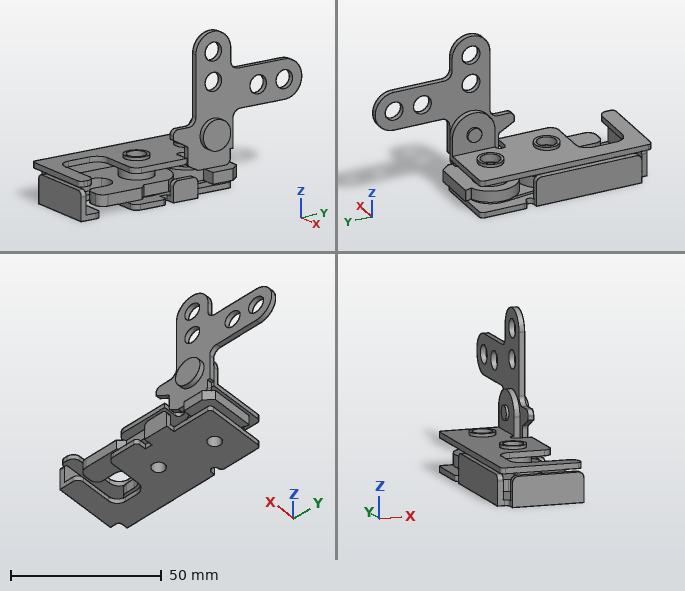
import cadquery as cq
import math


SHEET = 2.0
BEND_RELIEF_RADIUS = 1.5
CORNER_RADIUS = 1.5
FLANGE_CORNER_RADIUS = 2.0
LARGE_RADIUS = 3.0

FLANGE_TOP = 10.5
STRAP_TOP = 2.8
BLADE_BOTTOM = 3.4
BLADE_THICKNESS = 4.1
BLADE_TOP = BLADE_BOTTOM + BLADE_THICKNESS
COVER_BOTTOM = 11.7
COVER_TOP = COVER_BOTTOM + SHEET
RIVET_TOP = COVER_TOP + 1.1

PAWL_POST = (12.1, 54.0)
ROTOR_POST = (15.1, 31.65)
POSTS = (PAWL_POST, ROTOR_POST)
STRAP_RADIUS = 8.0
PIVOT_RADIUS = 5.2
SHOULDER_RADIUS = 6.1
RIVET_RADIUS = 4.5
POST_BORE_RADIUS = 2.55
COUNTERBORE_RADIUS = 3.5
COUNTERBORE_DEPTH = 2.9

HOUSING_WIDTH = 29.0
HOUSING_BACK = 63.6
SIDE_FLANGE_START = 3.9
SIDE_FLANGE_END = 43.05
FRONT_FLANGE_START = SIDE_FLANGE_START
SIDE_NOTCH_DEPTH = 2 * BEND_RELIEF_RADIUS
STOP_TAB_OUTER = 28.5
STOP_TAB_FRONT = 37.4
STOP_TAB_BACK = 47.2
FLOOR_REAR_EDGE = 24.8
FLOOR_STEP = 34.5
FLOOR_THROAT_LEFT = 10.1
FLOOR_THROAT_FRONT = 8.3
FLOOR_THROAT_BACK = 21.4
FLOOR_THROAT_RADIUS = 4.0
FLOOR_LIP_RADIUS = 2.5
COVER_EDGE = 26.2
COVER_ARM_END = 28.5
COVER_THROAT_LEFT = 6.5
COVER_THROAT_FRONT = 5.8
COVER_THROAT_BACK = 23.2
COVER_THROAT_RADIUS = 4.5

EAR_OUTER = 23.2
EAR_INNER = EAR_OUTER - SHEET
EAR_FRONT = 47.8
EAR_RELIEF_FRONT = 44.3
EAR_RELIEF_END = 19.4
EAR_RADIUS = (HOUSING_BACK - EAR_FRONT) / 2
HINGE_Y = HOUSING_BACK - EAR_RADIUS
HINGE_Z = 20.1
PIN_RADIUS = 2.55
PIN_TAIL = 20.25
PIN_HEAD_RADIUS = 5.5
PIN_HEAD_START = 25.35
PIN_HEAD_END = 27.4

ROTOR_HUB_RADIUS = 12.2
ROTOR_SLOT_WIDTH = 9.6
ROTOR_SLOT_TOP = 21.1
ROTOR_FINGER_TIP = 9.9
HOOK_TIP = 8.1
HOOK_EDGE = 28.5
HOOK_SHOULDER = 24.8
ROTOR_FLAT = 26.1

PAWL_HUB_RADIUS = 9.7
PAWL_BACK = 65.5
PAWL_ARM_END = 27.4
PAWL_CHAMFER_X = 2.8
PAWL_CHAMFER_Y = 3.4
PAWL_ARM_START = 8.4
PAWL_LIP_START = 7.8
PAWL_LIP_FRONT = 64.9
PAWL_LIP_ROOT = 63.2

LEVER_TOP = 55.5
LEVER_BACK = 91.2
LEVER_ARM_RADIUS = 7.0
LEVER_HOLE_RADIUS = 3.3
LEVER_HOLE_PITCH = 10.5
BACK_ARM_Z = 34.1
TOOTH_TIP = 39.6
TOOTH_TOP = 23.9
TOOTH_TIP_BOTTOM = 20.5
TOOTH_TIP_RADIUS = 2.0
NECK_RADIUS = 0.9
NECK_TOP = 17.2
FOOT_FRONT = 45.4
FOOT_BACK = 62.5
FOOT_BOTTOM = 8.4
FOOT_SLOPE_START = 10.7
FOOT_SLOPE_END = 49.4
FOOT_FRONT_RADIUS = 1.5
FOOT_BACK_RADIUS = 2.0


SHORTEST_EDGE = 9.12e-07


def rounded_outline(plane, corners):
    """Closed outline through (x, y, radius) corners, each corner rounded by its radius."""
    roundings = []
    for i, (x, y, radius) in enumerate(corners):
        here = cq.Vector(x, y)
        to_last = (cq.Vector(*corners[i - 1][:2]) - here).normalized()
        to_next = (cq.Vector(*corners[(i + 1) % len(corners)][:2]) - here).normalized()
        half_angle = to_last.getAngle(to_next) / 2
        setback = radius / math.tan(half_angle)
        corner_gap = radius / math.sin(half_angle) - radius
        middle = here + (to_last + to_next).normalized() * corner_gap
        roundings.append((here + to_last * setback, middle, here + to_next * setback, radius))

    end = roundings[0][2]
    sketch = cq.Workplane(plane).moveTo(end.x, end.y)
    for arc_start, middle, arc_end, radius in roundings[1:] + roundings[:1]:
        if (arc_start - end).Length > SHORTEST_EDGE:
            sketch = sketch.lineTo(arc_start.x, arc_start.y)
        if radius > 0:
            sketch = sketch.threePointArc((middle.x, middle.y), (arc_end.x, arc_end.y))
        end = arc_end
    return sketch.close()


def plate(corners, bottom, top):
    """Horizontal plate between two heights."""
    return rounded_outline("XY", corners).extrude(top - bottom).translate((0, 0, bottom))


def upright(corners, start, end):
    """Vertical plate across X, outlined in Y and Z."""
    return rounded_outline("YZ", corners).extrude(end - start).translate((start, 0, 0))


def disc(center, radius, bottom, top):
    """Vertical cylinder between two heights."""
    return cq.Workplane("XY", origin=(*center, bottom)).circle(radius).extrude(top - bottom)


def hinge_disc(radius, start, end):
    """Cylinder on the hinge axis between two X positions."""
    return cq.Workplane("YZ", origin=(start, HINGE_Y, HINGE_Z)).circle(radius).extrude(end - start)


def make_floor():
    notch_front = SIDE_FLANGE_END
    notch_back = notch_front + 2 * BEND_RELIEF_RADIUS
    return plate(
        [
            (HOUSING_WIDTH, 0, 0),
            (HOUSING_WIDTH, FLOOR_THROAT_FRONT, FLOOR_LIP_RADIUS),
            (FLOOR_THROAT_LEFT, FLOOR_THROAT_FRONT, FLOOR_THROAT_RADIUS),
            (FLOOR_THROAT_LEFT, FLOOR_THROAT_BACK, FLOOR_THROAT_RADIUS),
            (HOUSING_WIDTH, FLOOR_THROAT_BACK, FLOOR_LIP_RADIUS),
            (HOUSING_WIDTH, FLOOR_STEP, CORNER_RADIUS),
            (FLOOR_REAR_EDGE, FLOOR_STEP, 0),
            (FLOOR_REAR_EDGE, STOP_TAB_FRONT, 0),
            (STOP_TAB_OUTER, STOP_TAB_FRONT, 0),
            (STOP_TAB_OUTER, STOP_TAB_BACK, 0),
            (FLOOR_REAR_EDGE, STOP_TAB_BACK, 0),
            (FLOOR_REAR_EDGE, HOUSING_BACK, CORNER_RADIUS),
            (0, HOUSING_BACK, CORNER_RADIUS),
            (0, notch_back, CORNER_RADIUS),
            (SIDE_NOTCH_DEPTH, notch_back, BEND_RELIEF_RADIUS),
            (SIDE_NOTCH_DEPTH, notch_front, BEND_RELIEF_RADIUS),
            (0, notch_front, 0),
            (0, SIDE_FLANGE_START, 0),
            (FRONT_FLANGE_START, SIDE_FLANGE_START, BEND_RELIEF_RADIUS),
            (FRONT_FLANGE_START, 0, 0),
        ],
        0,
        SHEET,
    )


def make_flanges():
    side = upright(
        [
            (SIDE_FLANGE_START, 0, 0),
            (SIDE_FLANGE_END, 0, 0),
            (SIDE_FLANGE_END, FLANGE_TOP, FLANGE_CORNER_RADIUS),
            (SIDE_FLANGE_START, FLANGE_TOP, FLANGE_CORNER_RADIUS),
        ],
        0,
        SHEET,
    )
    stop_tab = upright(
        [
            (STOP_TAB_FRONT, 0, 0),
            (STOP_TAB_BACK, 0, 0),
            (STOP_TAB_BACK, BLADE_TOP, FLANGE_CORNER_RADIUS),
            (STOP_TAB_FRONT, BLADE_TOP, FLANGE_CORNER_RADIUS),
        ],
        STOP_TAB_OUTER - SHEET,
        STOP_TAB_OUTER,
    )
    front_corners = [
        (FRONT_FLANGE_START, 0, 0),
        (HOUSING_WIDTH, 0, 0),
        (HOUSING_WIDTH, FLANGE_TOP, FLANGE_CORNER_RADIUS),
        (FRONT_FLANGE_START, FLANGE_TOP, FLANGE_CORNER_RADIUS),
    ]
    front = rounded_outline("XZ", front_corners).extrude(-SHEET)
    return side.union(stop_tab).union(front)


def make_strap():
    """Raised strap on the floor that wraps around both posts."""
    dx = ROTOR_POST[0] - PAWL_POST[0]
    dy = ROTOR_POST[1] - PAWL_POST[1]
    middle = (PAWL_POST[0] + dx / 2, PAWL_POST[1] + dy / 2)
    length = math.hypot(dx, dy) + 2 * STRAP_RADIUS
    return (
        cq.Workplane("XY", origin=(*middle, SHEET))
        .slot2D(length, 2 * STRAP_RADIUS, math.degrees(math.atan2(dy, dx)))
        .extrude(STRAP_TOP - SHEET)
    )


def make_cover():
    return plate(
        [
            (0, 0, CORNER_RADIUS),
            (COVER_ARM_END, 0, CORNER_RADIUS),
            (COVER_ARM_END, COVER_THROAT_FRONT, LARGE_RADIUS),
            (COVER_THROAT_LEFT, COVER_THROAT_FRONT, COVER_THROAT_RADIUS),
            (COVER_THROAT_LEFT, COVER_THROAT_BACK, COVER_THROAT_RADIUS),
            (COVER_EDGE, COVER_THROAT_BACK, LARGE_RADIUS),
            (COVER_EDGE, EAR_RELIEF_FRONT, 0),
            (EAR_RELIEF_END, EAR_RELIEF_FRONT, BEND_RELIEF_RADIUS),
            (EAR_RELIEF_END, EAR_FRONT, BEND_RELIEF_RADIUS),
            (EAR_OUTER, EAR_FRONT, 0),
            (EAR_OUTER, HOUSING_BACK, 0),
            (0, HOUSING_BACK, CORNER_RADIUS),
        ],
        COVER_BOTTOM,
        COVER_TOP,
    )


def make_ear():
    ear_top = HINGE_Z + EAR_RADIUS
    return upright(
        [
            (EAR_FRONT, COVER_BOTTOM, 0),
            (HOUSING_BACK, COVER_BOTTOM, 0),
            (HOUSING_BACK, ear_top, EAR_RADIUS),
            (EAR_FRONT, ear_top, EAR_RADIUS),
        ],
        EAR_INNER,
        EAR_OUTER,
    )


def make_post(center):
    pivot = disc(center, PIVOT_RADIUS, SHEET, BLADE_TOP)
    shoulder = disc(center, SHOULDER_RADIUS, BLADE_TOP, COVER_BOTTOM)
    rivet = disc(center, RIVET_RADIUS, COVER_BOTTOM, RIVET_TOP)
    return pivot.union(shoulder).union(rivet)


def make_post_bore(center):
    bore = disc(center, POST_BORE_RADIUS, 0, RIVET_TOP)
    counterbore = disc(center, COUNTERBORE_RADIUS, RIVET_TOP - COUNTERBORE_DEPTH, RIVET_TOP)
    return bore.union(counterbore)


def make_hinge_pin():
    shank = hinge_disc(PIN_RADIUS, PIN_TAIL, PIN_HEAD_END)
    head = hinge_disc(PIN_HEAD_RADIUS, PIN_HEAD_START, PIN_HEAD_END)
    return shank.union(head)


def make_housing():
    housing = make_floor().union(make_flanges()).union(make_strap())
    housing = housing.union(make_cover()).union(make_ear()).union(make_hinge_pin())
    for center in POSTS:
        housing = housing.union(make_post(center))
    for center in POSTS:
        housing = housing.cut(make_post_bore(center))
    return housing


def make_rotor():
    """Disc, flattened on one side, with a finger and a hook on either side of the striker slot."""
    center_x, center_y = ROTOR_POST
    slot_left = center_x - ROTOR_SLOT_WIDTH / 2
    slot_right = center_x + ROTOR_SLOT_WIDTH / 2
    jaws = plate(
        [
            (center_x - ROTOR_HUB_RADIUS, center_y, 0),
            (center_x - ROTOR_HUB_RADIUS, ROTOR_FINGER_TIP, LARGE_RADIUS),
            (slot_left, ROTOR_FINGER_TIP, LARGE_RADIUS),
            (slot_left, ROTOR_SLOT_TOP, ROTOR_SLOT_WIDTH / 2),
            (slot_right, ROTOR_SLOT_TOP, ROTOR_SLOT_WIDTH / 2),
            (slot_right, HOOK_TIP, LARGE_RADIUS),
            (HOOK_EDGE, HOOK_TIP, LARGE_RADIUS),
            (HOOK_EDGE, HOOK_SHOULDER, 0),
            (ROTOR_FLAT, HOOK_SHOULDER + HOOK_EDGE - ROTOR_FLAT, 0),
            (ROTOR_FLAT, center_y, 0),
        ],
        BLADE_BOTTOM,
        BLADE_TOP,
    )
    hub = disc(ROTOR_POST, ROTOR_HUB_RADIUS, BLADE_BOTTOM, BLADE_TOP)
    bore = disc(ROTOR_POST, PIVOT_RADIUS, BLADE_BOTTOM, BLADE_TOP)
    slot_space = plate(
        [
            (slot_left, 0, 0),
            (slot_right, 0, 0),
            (slot_right, ROTOR_SLOT_TOP, ROTOR_SLOT_WIDTH / 2),
            (slot_left, ROTOR_SLOT_TOP, ROTOR_SLOT_WIDTH / 2),
        ],
        BLADE_BOTTOM,
        BLADE_TOP,
    )
    beyond_flat = cq.Workplane("XY", origin=(ROTOR_FLAT, center_y, BLADE_BOTTOM)).box(
        ROTOR_HUB_RADIUS,
        2 * ROTOR_HUB_RADIUS,
        BLADE_THICKNESS,
        centered=(False, True, False),
    )
    return hub.cut(beyond_flat).cut(slot_space).union(jaws).cut(bore)


def make_pawl():
    """Disc with an arm that reaches below the lever."""
    arm = plate(
        [
            (PAWL_ARM_START, PAWL_POST[1], 0),
            (PAWL_ARM_END, PAWL_POST[1], 0),
            (PAWL_ARM_END, PAWL_BACK - PAWL_CHAMFER_Y, 0),
            (PAWL_ARM_END - PAWL_CHAMFER_X, PAWL_BACK, 0),
            (PAWL_LIP_START, PAWL_BACK, 0),
            (PAWL_LIP_START, PAWL_LIP_FRONT, 0),
            (PAWL_ARM_START, PAWL_LIP_ROOT, 0),
        ],
        BLADE_BOTTOM,
        BLADE_TOP,
    )
    hub = disc(PAWL_POST, PAWL_HUB_RADIUS, BLADE_BOTTOM, BLADE_TOP)
    bore = disc(PAWL_POST, PIVOT_RADIUS, BLADE_BOTTOM, BLADE_TOP)
    return hub.union(arm).cut(bore)


def make_lever():
    """Bell crank with two drilled arms, a stop tooth and a foot that works the pawl."""
    front = HINGE_Y - LEVER_ARM_RADIUS
    back = HINGE_Y + LEVER_ARM_RADIUS
    blade = upright(
        [
            (front, LEVER_TOP, LEVER_ARM_RADIUS),
            (front, TOOTH_TOP, LARGE_RADIUS),
            (TOOTH_TIP, TOOTH_TOP, TOOTH_TIP_RADIUS),
            (TOOTH_TIP, TOOTH_TIP_BOTTOM, 0),
            (FOOT_FRONT, NECK_TOP, NECK_RADIUS),
            (FOOT_FRONT, FOOT_SLOPE_START, FOOT_FRONT_RADIUS),
            (FOOT_SLOPE_END, FOOT_BOTTOM, 0),
            (FOOT_BACK, FOOT_BOTTOM, FOOT_BACK_RADIUS),
            (FOOT_BACK, COVER_TOP, 0),
            (HOUSING_BACK, COVER_TOP, 0),
            (HOUSING_BACK, BACK_ARM_Z - LEVER_ARM_RADIUS, LARGE_RADIUS),
            (LEVER_BACK, BACK_ARM_Z - LEVER_ARM_RADIUS, LEVER_ARM_RADIUS),
            (LEVER_BACK, BACK_ARM_Z + LEVER_ARM_RADIUS, LEVER_ARM_RADIUS),
            (back, BACK_ARM_Z + LEVER_ARM_RADIUS, LARGE_RADIUS),
            (back, LEVER_TOP, LEVER_ARM_RADIUS),
        ],
        EAR_OUTER,
        EAR_OUTER + SHEET,
    )
    holes = []
    for i in range(2):
        inset = LEVER_ARM_RADIUS + i * LEVER_HOLE_PITCH
        holes.append((HINGE_Y, LEVER_TOP - inset))
        holes.append((LEVER_BACK - inset, BACK_ARM_Z))
    drills = (
        cq.Workplane("YZ", origin=(EAR_OUTER, 0, 0))
        .pushPoints(holes)
        .circle(LEVER_HOLE_RADIUS)
        .extrude(SHEET)
    )
    pin_hole = hinge_disc(PIN_RADIUS, EAR_OUTER, EAR_OUTER + SHEET)
    return blade.cut(drills).cut(pin_hole)


housing = make_housing()
rotor = make_rotor()
pawl = make_pawl()
lever = make_lever()

result = cq.Compound.makeCompound([housing.val(), rotor.val(), pawl.val(), lever.val()])